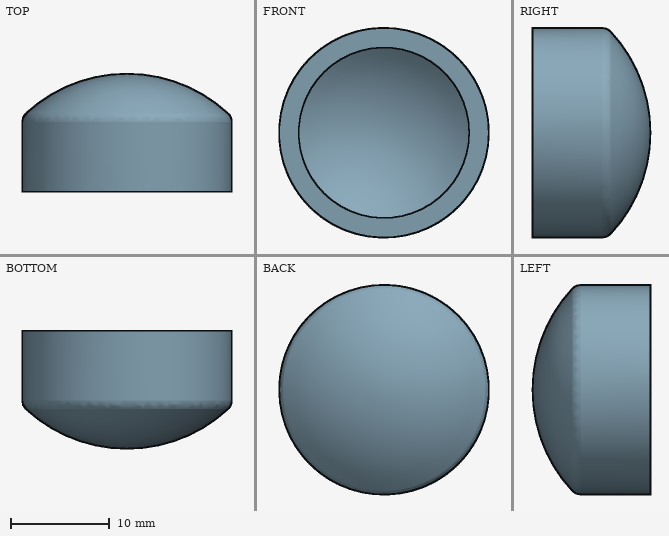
import cadquery as cq
import math

outer_radius = 10.65
bore_radius = 8.65
height = 12.0
dome_radius = 15.05
dome_wall = 2.0
shoulder_fillet = 1.2

dome_center = height - dome_radius
inner_dome_radius = dome_radius - dome_wall


def dome_height(sphere_radius, radius):
    """Y of a sphere about the dome centre, at a distance from the axis."""
    return dome_center + math.sqrt(sphere_radius**2 - radius**2)


def domed_plug(radius, sphere_radius):
    """Solid cylinder with a spherical end, standing on Y = 0."""
    return (
        cq.Workplane("XY")
        .lineTo(radius, 0)
        .lineTo(radius, dome_height(sphere_radius, radius))
        .threePointArc(
            (radius / 2, dome_height(sphere_radius, radius / 2)),
            (0, dome_center + sphere_radius),
        )
        .close()
        .revolve(360, (0, 0, 0), (0, 1, 0))
    )


body = domed_plug(outer_radius, dome_radius)
rim_edges = body.edges("%CIRCLE").edges(cq.selectors.RadiusNthSelector(0))
body = rim_edges.edges(">Y").fillet(shoulder_fillet)

cavity = domed_plug(bore_radius, inner_dome_radius)

result = body.cut(cavity)